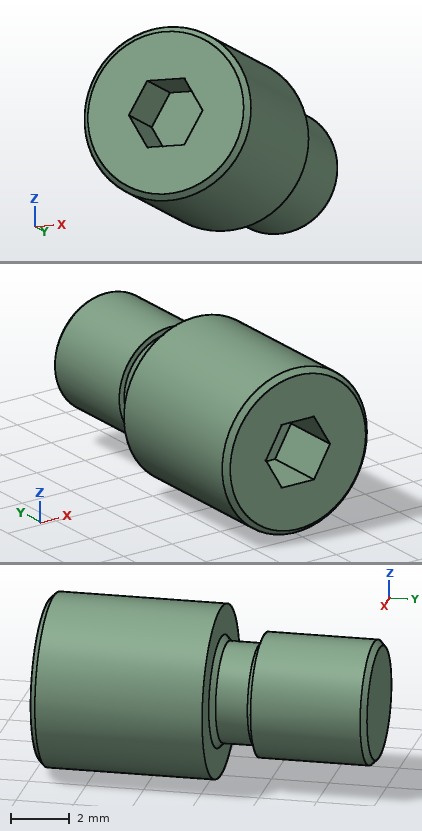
import cadquery as cq
import math

total_length = 11.5
head_diameter = 6.0
head_length = 6.0
shank_diameter = 4.3
neck_diameter = 3.5
neck_length = 1.5
edge_chamfer = 0.2
neck_flare = 0.2
socket_across_flats = 2.3
socket_depth = 2.3

head_radius = head_diameter / 2
shank_radius = shank_diameter / 2
neck_radius = neck_diameter / 2
neck_end = head_length + neck_length


def turned_body():
    """Revolve the half profile (X = radius, Y = length) about the Y axis."""
    flare_radius = neck_radius + neck_flare
    profile = (
        cq.Workplane("XY")
        .lineTo(head_radius - edge_chamfer, 0)
        .lineTo(head_radius, edge_chamfer)
        .lineTo(head_radius, head_length)
        .lineTo(flare_radius, head_length)
        .lineTo(neck_radius, head_length + neck_flare)
        .lineTo(neck_radius, neck_end - neck_flare)
        .lineTo(flare_radius, neck_end)
        .lineTo(shank_radius, neck_end)
        .lineTo(shank_radius, total_length - edge_chamfer)
        .lineTo(shank_radius - edge_chamfer, total_length)
        .lineTo(0, total_length)
        .close()
    )
    return profile.revolve(360, (0, 0, 0), (0, 1, 0))


def hex_socket():
    """Hexagonal prism sunk into the head face, two corners lying along X."""
    across_corners = socket_across_flats / math.cos(math.pi / 6)
    return cq.Workplane("XZ").polygon(6, across_corners).extrude(-socket_depth)


result = turned_body().cut(hex_socket())